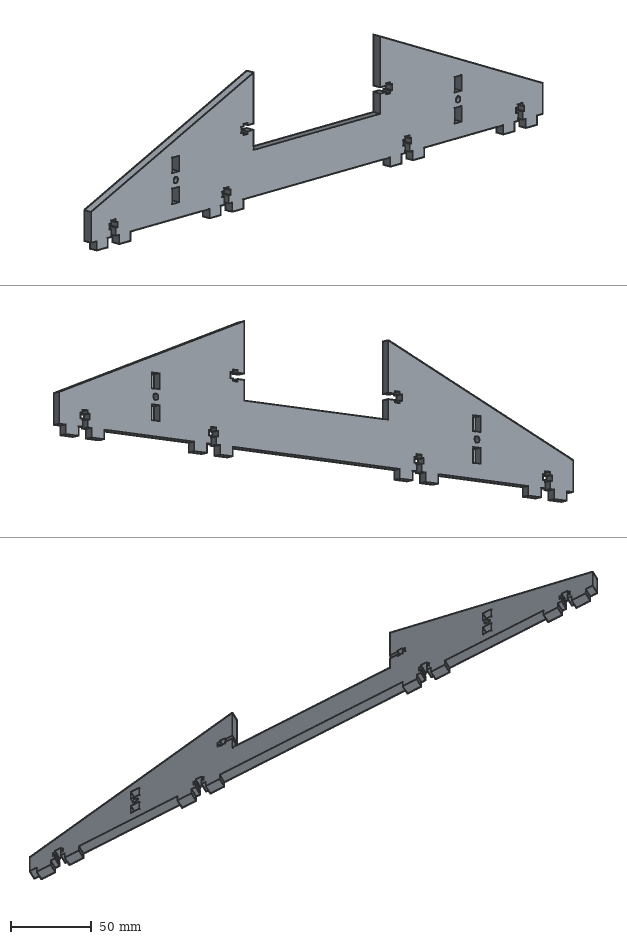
import cadquery as cq

length = 400.0
thickness = 6.0
wing_height = 80.0
end_height = 20.0
notch_width = 112.0
notch_floor = 30.0

tab_length = 10.0
tab_gap = 10.0
tab_depth = thickness
end_to_outer_joint = 20.0
joint_spacing = 100.0

bolt_diameter = 4.0
bolt_slot_depth = 11.0
nut_width = 7.0
nut_thickness = 3.5
nut_start = 5.0

end_to_mortise = 72.0
mortise_bottom = 10.0

half_length = length / 2
half_notch = notch_width / 2
pair_offset = (tab_gap + tab_length) / 2
bolt_offset = tab_length + tab_gap / 2
outer_joint = half_length - end_to_outer_joint
inner_joint = outer_joint - joint_spacing
side_slot_height = notch_floor + bolt_offset
mortise_width = thickness
mortise_position = half_length - end_to_mortise - mortise_width / 2
mortise_middle = mortise_bottom + bolt_offset


def block(y, z, y_size, z_size):
    """Box through the plate thickness, centred at the given Y and Z."""
    return cq.Workplane("XY").box(thickness, y_size, z_size).translate((0, y, z))


def plate():
    """Two sloping wings joined by a low bridge, standing on Z = 0."""
    outline = [
        (-half_length, 0),
        (half_length, 0),
        (half_length, end_height),
        (half_notch, wing_height),
        (half_notch, notch_floor),
        (-half_notch, notch_floor),
        (-half_notch, wing_height),
        (-half_length, end_height),
    ]
    return cq.Workplane("YZ").polyline(outline).close().extrude(thickness / 2, both=True)


def add_tab_pair(body, y):
    """Hang a tab below the bottom edge on either side of y."""
    for offset in (-pair_offset, pair_offset):
        body = body.union(block(y + offset, -tab_depth / 2, tab_length, tab_depth))
    return body


def bolt_slot():
    """Bolt slot with nut pocket, running up from the origin along Z."""
    shank = block(0, bolt_slot_depth / 2, bolt_diameter, bolt_slot_depth)
    nut = block(0, nut_start + nut_thickness / 2, nut_width, nut_thickness)
    return shank.union(nut)


def cut_bottom_slot(body, y):
    """Cut a bolt slot upward from the bottom edge."""
    return body.cut(bolt_slot().translate((0, y, 0)))


def cut_side_slot(body, side):
    """Cut a bolt slot from a notch wall into the wing on the given side."""
    quarter_turn = -side * 90
    sideways = bolt_slot().rotate((0, 0, 0), (1, 0, 0), quarter_turn)
    return body.cut(sideways.translate((0, side * half_notch, side_slot_height)))


def cut_mortise_group(body, y):
    """Cut two mortises, one above the other, and the bolt hole midway."""
    for offset in (-pair_offset, pair_offset):
        body = body.cut(block(y, mortise_middle + offset, mortise_width, tab_length))
    hole = (
        cq.Workplane("YZ")
        .center(y, mortise_middle)
        .circle(bolt_diameter / 2)
        .extrude(thickness / 2, both=True)
    )
    return body.cut(hole)


result = plate()
for side in (-1, 1):
    for joint in (outer_joint, inner_joint):
        result = add_tab_pair(result, side * joint)
        result = cut_bottom_slot(result, side * joint)
    result = cut_side_slot(result, side)
    result = cut_mortise_group(result, side * mortise_position)